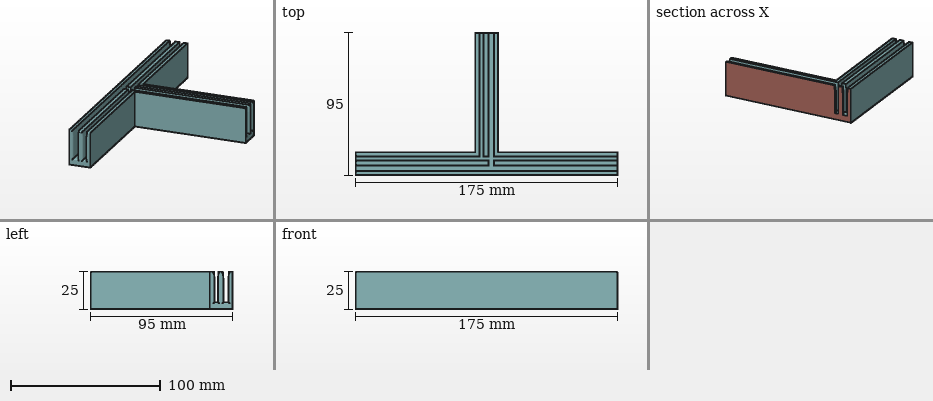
import cadquery as cq

bar_length = 175.0
total_depth = 95.0
height = 25.0
arm_width = 15.2

wide_side_wall = 3.0
narrow_side_wall = 3.2
narrow_groove = 2.1
wide_groove = 3.2
floor = 4.7

mouth_depth = 4.9
mouth_flare = 0.44

end_radius = 1.0

wide_center = wide_side_wall + wide_groove / 2
narrow_center = arm_width - narrow_side_wall - narrow_groove / 2
stem_right = arm_width / 2


def groove_outline(plane, width):
    """Groove section with upright sides and a flared mouth."""
    half = width / 2
    half_mouth = half + mouth_flare
    shoulder = height - mouth_depth
    return cq.Workplane(plane).polyline([
        (-half, floor),
        (half, floor),
        (half, shoulder),
        (half_mouth, height),
        (-half_mouth, height),
        (-half, shoulder),
    ]).close()


def groove(width, end, inward, length):
    """Straight groove running inward from an arm end."""
    across = cq.Vector(0, 0, 1).cross(inward)
    end_plane = cq.Plane(origin=end, xDir=across, normal=inward)
    return groove_outline(end_plane, width).extrude(length)


def round_end(solid, end_face, outer_sides):
    """Round an arm end's edges, except the outer upright edges and the bottom edge."""
    edges = solid.faces(end_face).edges(f"not (<Z or {outer_sides})")
    return edges.fillet(end_radius)


bar = cq.Workplane().box(bar_length, arm_width, height, centered=(True, False, False))
stem = cq.Workplane().box(arm_width, total_depth, height, centered=(True, False, False))
body = bar.union(stem)

for side in (-1, 1):
    for width, center in ((wide_groove, wide_center), (narrow_groove, narrow_center)):
        bar_end = cq.Vector(side * bar_length / 2, center, 0)
        body = body.cut(groove(width, bar_end, cq.Vector(-side, 0, 0), bar_length / 2))

for width, center, stop in (
    (wide_groove, wide_center, wide_center),
    (narrow_groove, narrow_center, narrow_center),
):
    stem_end = cq.Vector(stem_right - center, total_depth, 0)
    body = body.cut(groove(width, stem_end, cq.Vector(0, -1, 0), total_depth - stop))

body = round_end(body, "<X", "<Y or >Y")
body = round_end(body, ">X", "<Y or >Y")
body = round_end(body, ">Y", "<X or >X")

result = body